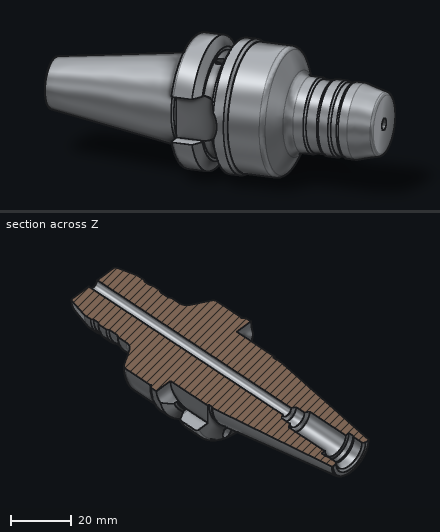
import cadquery as cq
import math

LENGTH = 118.2
AXIS = ((0, 0, 0), (1, 0, 0))

TAPER_SLOPE = 7 / 48
TAPER_LENGTH = 48.2
TAPER_LARGE_R = 16.0
TAPER_SMALL_R = TAPER_LARGE_R - TAPER_LENGTH * TAPER_SLOPE
TAPER_END_CHAMFER = 0.4
NECK_X = 49.1
NECK_R = 31.2 / 2

FLANGE_X = 50.3
FLANGE_R = 46.0 / 2
FLANGE_EDGE_R = 1.0
GROOVE_START_X = 58.0
GROOVE_END_X = 66.0
GROOVE_WALL_DEPTH = 2.1
GROOVE_MOUTH_DROP = GROOVE_WALL_DEPTH * math.tan(math.radians(60))
GROOVE_FLOOR_R = 18.2
FLANGE_END_X = 69.8
FLANGE_CHAMFER = 1.1

BODY_X = 71.1
BODY_R = 44.5 / 2
BODY_END_X = 83.4
SHOULDER_ANGLE = 60
BODY_EDGE_R = 2.0
NOSE_R = 26 / 2
SHOULDER_END_X = BODY_END_X + (BODY_R - NOSE_R) / math.tan(math.radians(SHOULDER_ANGLE))
NOSE_ROOT_R = 3.3
NOSE_CONE_X = 110.0
NOSE_CONE_ANGLE = 15
NOSE_END_R = NOSE_R - (LENGTH - NOSE_CONE_X) * math.tan(math.radians(NOSE_CONE_ANGLE))
NOSE_EDGE_R = 1.1

NOSE_GROOVES = ((94.4, 99.8), (103.2, 106.9))
NOSE_GROOVE_R = 25.0 / 2
NOSE_GROOVE_WALL = 0.8

SLOT_WIDTH = 16.0
SLOT_FLOOR_Y = 16.2
SLOT_END_X = 67.4

BORE_MOUTH_R = 7.1
PILOT_R = 12.5 / 2
RECESS_X = 4.5
RECESS_TAPER = 0.7
RECESS_R = 13.1 / 2
RECESS_END_X = 7.1
THREAD_R = 10.0 / 2
THREAD_END_X = 23.6
DRILL_R = 7.0 / 2
DRILL_END_X = 28.4
THROUGH_R = 4.0 / 2
DRILL_POINT_SLOPE = math.tan(math.radians(59))

COOLANT_ANGLE = 20
COOLANT_TILT = 25
COOLANT_MOUTH_R = 20.0
COOLANT_SEAT_D = 4.1
COOLANT_SEAT_DEPTH = 1.7
COOLANT_PASSAGE_D = 3.8
COOLANT_FEED_D = 3.2
COOLANT_FEED_X = 62.0
COOLANT_FEED_BOTTOM = 14.2


def revolve(points):
    """Revolve a closed (x, radius) outline about the spindle axis."""
    return cq.Workplane("XY").polyline(points).close().revolve(360, *AXIS)


def make_shank():
    """Taper, neck and grooved flange."""
    mouth_r = FLANGE_R - GROOVE_MOUTH_DROP
    shank = revolve([
        (0, 0),
        (0, TAPER_SMALL_R - TAPER_END_CHAMFER),
        (TAPER_END_CHAMFER, TAPER_SMALL_R + TAPER_END_CHAMFER * TAPER_SLOPE),
        (TAPER_LENGTH, TAPER_LARGE_R),
        (NECK_X, NECK_R),
        (FLANGE_X, NECK_R),
        (FLANGE_X, FLANGE_R),
        (GROOVE_START_X, FLANGE_R),
        (GROOVE_START_X + GROOVE_WALL_DEPTH, mouth_r),
        (GROOVE_START_X + GROOVE_WALL_DEPTH, GROOVE_FLOOR_R),
        (GROOVE_END_X - GROOVE_WALL_DEPTH, GROOVE_FLOOR_R),
        (GROOVE_END_X - GROOVE_WALL_DEPTH, mouth_r),
        (GROOVE_END_X, FLANGE_R),
        (FLANGE_END_X, FLANGE_R),
        (FLANGE_END_X + FLANGE_CHAMFER, FLANGE_R - FLANGE_CHAMFER),
        (BODY_X, BODY_R),
        (BODY_X, 0),
    ])
    return fillet_circle(shank, FLANGE_X, FLANGE_R, FLANGE_EDGE_R)


def make_body():
    """Cylindrical body, shoulder cone and nose."""
    body = revolve([
        (BODY_X, 0),
        (BODY_X, BODY_R),
        (BODY_END_X, BODY_R),
        (SHOULDER_END_X, NOSE_R),
        (NOSE_CONE_X, NOSE_R),
        (LENGTH, NOSE_END_R),
        (LENGTH, 0),
    ])
    body = fillet_circle(body, BODY_END_X, BODY_R, BODY_EDGE_R)
    body = fillet_circle(body, SHOULDER_END_X, NOSE_R, NOSE_ROOT_R)
    return fillet_circle(body, LENGTH, NOSE_END_R, NOSE_EDGE_R)


def fillet_circle(solid, x, radius, fillet_radius):
    """Round the circular edge that passes through (x, radius)."""
    tolerance = 0.001
    rims = [
        edge for edge in solid.edges("%CIRCLE").vals()
        if abs(edge.radius() - radius) < tolerance and abs(edge.Center().x - x) < tolerance
    ]
    return solid.newObject(rims).fillet(fillet_radius)


def make_nose_groove(start, end):
    """Ring that cuts a shallow groove with slanted walls."""
    return revolve([
        (start, NOSE_R),
        (start + NOSE_GROOVE_WALL, NOSE_GROOVE_R),
        (end - NOSE_GROOVE_WALL, NOSE_GROOVE_R),
        (end, NOSE_R),
    ])


def make_drive_slot(side):
    """Round-ended slot cutter on the +Y (side = 1) or -Y (side = -1) flank."""
    half_width = SLOT_WIDTH / 2
    arc_x = SLOT_END_X - half_width
    depth = FLANGE_R - SLOT_FLOOR_Y + 1.2
    return (
        cq.Workplane("XZ", origin=(0, side * SLOT_FLOOR_Y, 0))
        .moveTo(FLANGE_X, -half_width)
        .lineTo(arc_x, -half_width)
        .threePointArc((SLOT_END_X, 0), (arc_x, half_width))
        .lineTo(FLANGE_X, half_width)
        .close()
        .extrude(-side * depth)
    )


def make_bore():
    """Stepped bore that runs the whole length of the part."""
    mouth_chamfer = BORE_MOUTH_R - PILOT_R
    return revolve([
        (0, 0),
        (0, BORE_MOUTH_R),
        (mouth_chamfer, PILOT_R),
        (RECESS_X, PILOT_R),
        (RECESS_X + RECESS_TAPER, RECESS_R),
        (RECESS_END_X, RECESS_R),
        (RECESS_END_X, THREAD_R),
        (THREAD_END_X, THREAD_R),
        (THREAD_END_X + (THREAD_R - DRILL_R) / DRILL_POINT_SLOPE, DRILL_R),
        (DRILL_END_X, DRILL_R),
        (DRILL_END_X + (DRILL_R - THROUGH_R) / DRILL_POINT_SLOPE, THROUGH_R),
        (LENGTH, THROUGH_R),
        (LENGTH, 0),
    ])


def make_coolant_holes(turn):
    """Tilted flange-face hole joined to a radial hole from the V-groove floor."""
    tilt = math.radians(COOLANT_TILT)
    inward = cq.Vector(math.cos(tilt), 0, -math.sin(tilt))
    mouth = cq.Vector(FLANGE_X, 0, COOLANT_MOUTH_R)
    start = mouth - inward * COOLANT_SEAT_D
    passage_length = (COOLANT_FEED_X - FLANGE_X) / math.cos(tilt)
    seat = cq.Solid.makeCylinder(
        COOLANT_SEAT_D / 2, COOLANT_SEAT_D + COOLANT_SEAT_DEPTH, start, inward
    )
    passage = cq.Solid.makeCylinder(COOLANT_PASSAGE_D / 2, passage_length, mouth, inward)
    feed = cq.Solid.makeCylinder(
        COOLANT_FEED_D / 2,
        FLANGE_R - COOLANT_FEED_BOTTOM,
        cq.Vector(COOLANT_FEED_X, 0, COOLANT_FEED_BOTTOM),
        cq.Vector(0, 0, 1),
    )
    holes = cq.Workplane(seat).union(cq.Workplane(passage)).union(cq.Workplane(feed))
    return holes.rotate(*AXIS, turn)


result = make_shank().union(make_body())

for groove_start, groove_end in NOSE_GROOVES:
    result = result.cut(make_nose_groove(groove_start, groove_end))

for flank in (1, -1):
    result = result.cut(make_drive_slot(flank))

for half_turn in (0, 180):
    result = result.cut(make_coolant_holes(COOLANT_ANGLE + half_turn))

result = result.cut(make_bore())